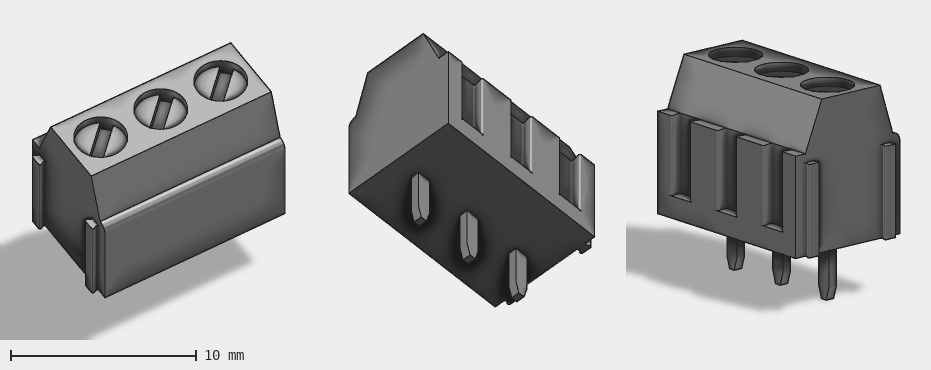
import cadquery as cq
import math


pole_count = 3
pitch = 3.81
pole_x = 3.9
pole_ys = [(index + 0.5) * pitch for index in range(pole_count)]

width = 7.4
length = pole_count * pitch
height = 8.6
shoulder_z = 5.75
slope_base_left = 0.7
slope_top_left = 1.86
slope_top_right = 6.0
shoulder_radius = 0.5
slope_base_right = width - shoulder_radius

screw_diameter = 2.9
screw_recess_depth = 0.5
driver_slot_width = 0.75
driver_slot_depth = 0.5
driver_slot_angle = -45

entry_depth = slope_base_left
entry_bottom_z = 1.25
entry_mouth_width = 1.49
entry_flank_angle = 10
entry_back_width = entry_mouth_width + 2 * entry_depth * math.tan(math.radians(entry_flank_angle))
entry_edge_radius = 0.1

rail_xs = [1.0, width - 1.0]
rail_height = 5.25
rail_projection = 0.42
rail_tip_width = 0.9
rail_flank_angle = 30
rail_root_width = rail_tip_width - 2 * rail_projection * math.tan(math.radians(rail_flank_angle))
rail_edge_radius = 0.1

clearance = 0.2

pin_thickness = 0.53
pin_width = 0.85
pin_length = 3.4
pin_tip_width = 0.4
pin_taper_length = 0.75


def make_block():
    """Constant cross-section of the housing, run along Y."""
    return (
        cq.Workplane("XZ")
        .lineTo(width, 0)
        .lineTo(width, shoulder_z - shoulder_radius)
        .radiusArc((slope_base_right, shoulder_z), -shoulder_radius)
        .lineTo(slope_top_right, height)
        .lineTo(slope_top_left, height)
        .lineTo(slope_base_left, shoulder_z)
        .lineTo(0, shoulder_z)
        .close()
        .extrude(-length)
    )


def make_screw_recess(y):
    """Round recess over a screw head, with the driver slot sunk in its floor."""
    recess_floor = height - screw_recess_depth
    recess = (
        cq.Workplane("XY", origin=(pole_x, y, recess_floor))
        .circle(screw_diameter / 2)
        .extrude(screw_recess_depth)
    )
    slot_floor = recess_floor - driver_slot_depth
    slot_bar = (
        cq.Workplane("XY", origin=(pole_x, y, slot_floor))
        .transformed(rotate=(0, 0, driver_slot_angle))
        .rect(screw_diameter, driver_slot_width)
        .extrude(driver_slot_depth)
    )
    slot_limit = (
        cq.Workplane("XY", origin=(pole_x, y, slot_floor))
        .circle(screw_diameter / 2)
        .extrude(driver_slot_depth)
    )
    return recess.union(slot_bar.intersect(slot_limit))


def make_entry_slot(y):
    """Wire-entry slot, open at the shoulder."""
    return (
        cq.Workplane("XY", origin=(0, y, entry_bottom_z))
        .moveTo(0, -entry_mouth_width / 2)
        .lineTo(entry_depth, -entry_back_width / 2)
        .lineTo(entry_depth, entry_back_width / 2)
        .lineTo(0, entry_mouth_width / 2)
        .close()
        .extrude(shoulder_z - entry_bottom_z)
    )


def make_rail(x):
    """Dovetail rail standing out from the Y = 0 face."""
    return (
        cq.Workplane("XY", origin=(x, 0, 0))
        .moveTo(-rail_root_width / 2, 0)
        .lineTo(-rail_tip_width / 2, -rail_projection)
        .lineTo(rail_tip_width / 2, -rail_projection)
        .lineTo(rail_root_width / 2, 0)
        .close()
        .extrude(rail_height)
    )


def box_around(x, y, z_top, size_x, size_y):
    """Selector for what lies inside an upright box centred on (x, y)."""
    low = (x - size_x / 2, y - size_y / 2, 0)
    high = (x + size_x / 2, y + size_y / 2, z_top)
    return cq.selectors.BoxSelector(low, high)


def make_housing():
    housing = make_block()
    for y in pole_ys:
        housing = housing.cut(make_screw_recess(y))
        housing = housing.cut(make_entry_slot(y))
        selector = box_around(
            entry_depth / 2, y, shoulder_z, entry_depth + clearance, entry_back_width + clearance
        )
        housing = housing.edges("|Z").edges(selector).fillet(entry_edge_radius)
    for x in rail_xs:
        housing = housing.union(make_rail(x))
        selector = box_around(
            x, -rail_projection / 2, rail_height, rail_tip_width + clearance, rail_projection + clearance
        )
        housing = housing.edges("|Z").edges(selector).fillet(rail_edge_radius)
    return housing


def make_pin(y):
    """Flat solder pin below the housing, tapered to a blunt tip."""
    taper_z = pin_taper_length - pin_length
    return (
        cq.Workplane("YZ", origin=(pole_x - pin_thickness / 2, y, 0))
        .moveTo(-pin_width / 2, 0)
        .lineTo(-pin_width / 2, taper_z)
        .lineTo(-pin_tip_width / 2, -pin_length)
        .lineTo(pin_tip_width / 2, -pin_length)
        .lineTo(pin_width / 2, taper_z)
        .lineTo(pin_width / 2, 0)
        .close()
        .extrude(pin_thickness)
    )


housing = make_housing()
pins = [make_pin(y) for y in pole_ys]

result = cq.Compound.makeCompound([housing.solids().val(), *[pin.val() for pin in pins]])